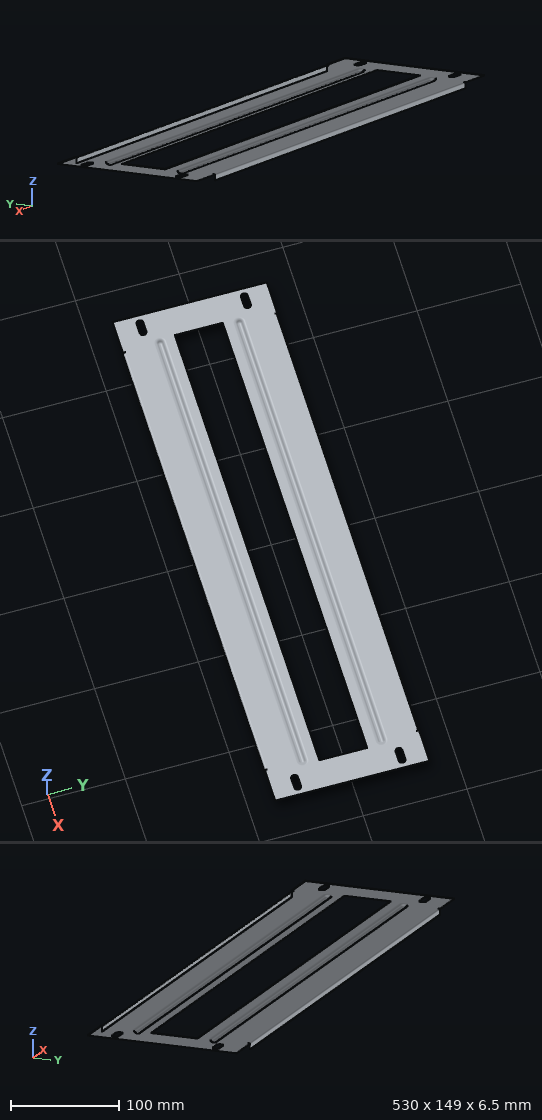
import cadquery as cq
import math

length = 530.0
width = 149.0
height = 6.5
thickness = 0.8

flange_length = 462.0
bend_radius = 2.0

window_length = 470.5
window_width = 46.0

slot_length = 16.0
slot_width = 6.5
slot_x = 252.0
slot_y = 50.5

bead_length = 474.0
bead_width = 11.0
bead_half_width = bead_width / 2
bead_depth = 3.0
bead_y = 38.0
lip_radius = 3.5
bead_straight = bead_length - bead_width

radius_sum = (bead_half_width**2 + bead_depth**2) / (2 * bead_depth)
trough_radius = radius_sum - lip_radius
wall_angle = math.asin(bead_half_width / radius_sum)


def bead_half_section(plane):
    """Half of the bead sheet, from its center line out to the flat plate."""
    trough_center_z = trough_radius - bead_depth
    lip_center_z = -lip_radius

    def on_trough(radius, angle):
        return (radius * math.sin(angle), trough_center_z - radius * math.cos(angle))

    def on_lip(radius, angle):
        return (bead_half_width - radius * math.sin(angle), lip_center_z + radius * math.cos(angle))

    lower_trough = trough_radius + thickness
    lower_lip = lip_radius - thickness
    half_angle = wall_angle / 2
    return (
        cq.Workplane(plane)
        .moveTo(0, -bead_depth)
        .threePointArc(on_trough(trough_radius, half_angle), on_trough(trough_radius, wall_angle))
        .threePointArc(on_lip(lip_radius, half_angle), (bead_half_width, 0))
        .lineTo(bead_half_width, -thickness)
        .threePointArc(on_lip(lower_lip, half_angle), on_lip(lower_lip, wall_angle))
        .threePointArc(on_trough(lower_trough, half_angle), (0, -bead_depth - thickness))
        .close()
    )


def make_bead():
    """Straight trough closed by a revolved half-round at each end."""
    half = bead_half_section("YZ").extrude(bead_straight / 2, both=True)
    bead = half.union(half.mirror("XZ"))
    end = bead_half_section("XZ").revolve(360, (0, 0), (0, 1))
    end = end.intersect(cq.Workplane("XY").box(length, width, 4 * height).translate((length / 2, 0, 0)))
    end = end.translate((bead_straight / 2, 0, 0))
    return bead.union(end).union(end.mirror("YZ"))


def make_flanged_strip():
    """Plate with a rounded bend and flange along each long edge."""
    inner_width = width - 2 * thickness
    outside = (
        cq.Workplane("XY")
        .box(flange_length, width, height, centered=(True, True, False))
        .translate((0, 0, -height))
        .edges("|X and >Z")
        .fillet(bend_radius)
    )
    inside = (
        cq.Workplane("XY")
        .box(flange_length, inner_width, height, centered=(True, True, False))
        .edges("|X and >Z")
        .fillet(bend_radius - thickness)
        .translate((0, 0, -height - thickness))
    )
    return outside.cut(inside)


def make_end_plate(side):
    """Flat square-cornered plate beyond the flanges at one end."""
    end_length = (length - flange_length) / 2
    center_x = side * (flange_length + end_length) / 2
    return cq.Workplane("XY").center(center_x, 0).rect(end_length, width).extrude(-thickness)


panel = make_flanged_strip()
for side in (-1, 1):
    panel = panel.union(make_end_plate(side))

panel = panel.cut(cq.Workplane("XY").rect(window_length, window_width).extrude(-thickness))

slots = (
    cq.Workplane("XY")
    .rect(2 * slot_x, 2 * slot_y, forConstruction=True)
    .vertices()
    .slot2D(slot_length, slot_width)
    .extrude(-thickness)
)
panel = panel.cut(slots)

bead_openings = (
    cq.Workplane("XY")
    .pushPoints([(0, -bead_y), (0, bead_y)])
    .slot2D(bead_length, bead_width)
    .extrude(-thickness)
)
panel = panel.cut(bead_openings)
bead = make_bead()
for side in (-1, 1):
    panel = panel.union(bead.translate((0, side * bead_y, 0)))

result = panel